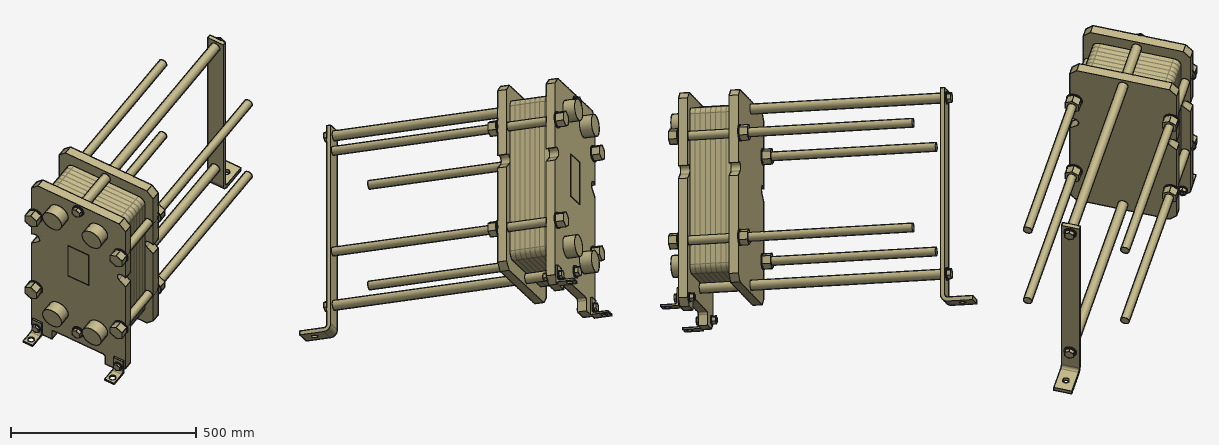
import cadquery as cq
import math


plate_width = 300.0
plate_thick = 26.0
plate_top = 596.0
pressure_height = 536.0
corner_chamfer = 20.0
mid_z = plate_top - pressure_height / 2

notch_radius = 13.0
notch_depth = 26.0
notch_z = 380.0
notch_mouth_top = 388.0
notch_mouth_bottom = 352.0

leg_gap = 169.0
leg_height = 37.0
leg_gap_fillet = 7.0

port_diameter = 60.0
port_length = 34.0
port_x = 63.0
port_offset_z = 197.0
label_width = 66.0
label_height = 122.0
label_thick = 1.0
label_z = 350.0

pack_plates = 8
pack_depth = 115.0
pack_height = 462.0
pack_corner = 21.0

bar_diameter = 28.0
bar_offset_z = 245.5
bar_washer_diameter = 34.0
bar_head_flats = 24.0
bar_head_height = 11.0

rod_diameter = 24.0
rod_spacing = 272.0
rod_offset_z = 146.0
rod_end_y = 649.0
rod_washer_diameter = 44.0
rod_nut_flats = 38.0
rod_nut_height = 23.5

washer_thick = 2.5

column_width = 50.0
column_thick = 12.0
column_front_y = 698.0
column_foot_end_y = 788.0
column_bend_radius = 8.0
column_hole_y = 754.0

foot_x = 130.0
foot_width = 30.0
foot_thick = 5.0
foot_height = 49.5
foot_length = 50.0
foot_bend_radius = 7.0
foot_hole_y = -34.0
foot_bolt_z = 25.0
foot_bolt_diameter = 12.0
foot_washer_diameter = 25.0
foot_nut_flats = 20.0
foot_head_height = 7.0
foot_nut_height = 11.0
foot_bolt_end = 16.0

anchor_hole_diameter = 18.0

pack_pitch = pack_depth / pack_plates
rod_x = rod_spacing / 2
pressure_front_y = plate_thick + pack_depth
pressure_back_y = pressure_front_y + plate_thick
column_back_y = column_front_y + column_thick
bar_heights = [mid_z - bar_offset_z, mid_z + bar_offset_z]
rod_places = [(sx * rod_x, mid_z + sz * rod_offset_z) for sx in (-1, 1) for sz in (-1, 1)]
port_places = [(sx * port_x, mid_z + sz * port_offset_z) for sx in (-1, 1) for sz in (-1, 1)]


def face_plane(y):
    """XZ sketch plane at the given Y whose normal points to +Y (its local x is -X)."""
    return cq.Workplane(cq.Plane(origin=(0, y, 0), xDir=(-1, 0, 0), normal=(0, 1, 0)))


def cylinder_y(diameter, x, z, y_start, y_end):
    """Cylinder along Y."""
    return face_plane(y_start).center(-x, z).circle(diameter / 2).extrude(y_end - y_start)


def hexagon_y(flats, x, z, y_start, y_end):
    """Hexagonal prism along Y with two corners on its vertical axis."""
    corners = flats / math.cos(math.pi / 6)
    profile = face_plane(y_start).center(-x, z).transformed(rotate=(0, 0, 90)).polygon(6, corners)
    return profile.extrude(y_end - y_start)


def fastener(x, z, y_face, outward, washer_diameter, flats, height):
    """Washer and hexagon on the face y_face, stacked toward outward (+1 or -1)."""
    y_seat = y_face + outward * washer_thick
    washer = cylinder_y(washer_diameter, x, z, min(y_face, y_seat), max(y_face, y_seat))
    y_top = y_seat + outward * height
    return washer.union(hexagon_y(flats, x, z, min(y_seat, y_top), max(y_seat, y_top)))


def tangent_point(start, centre, radius, side):
    """Point where the line from start touches the circle, on the given side (+1 or -1)."""
    dx = start[0] - centre[0]
    dz = start[1] - centre[1]
    angle = math.atan2(dz, dx) + side * math.acos(radius / math.hypot(dx, dz))
    return (centre[0] + radius * math.cos(angle), centre[1] + radius * math.sin(angle))


def side_notch(y, thick):
    """Cutter for the notch in the +X side: a round bottom with two tangent flanks."""
    edge = plate_width / 2
    centre = (edge - notch_depth + notch_radius, notch_z)
    upper = (edge, notch_mouth_top)
    lower = (edge, notch_mouth_bottom)
    upper_touch = tangent_point(upper, centre, notch_radius, 1)
    lower_touch = tangent_point(lower, centre, notch_radius, -1)
    bottom = (edge - notch_depth, notch_z)
    profile = (
        cq.Workplane("XZ", origin=(0, y, 0))
        .moveTo(*lower)
        .lineTo(*lower_touch)
        .threePointArc(bottom, upper_touch)
        .lineTo(*upper)
        .close()
    )
    return profile.extrude(-thick)


def clamping_plate(y, bottom_z):
    """Chamfered plate with side notches and the holes for the rods and bars."""
    height = plate_top - bottom_z
    plate = face_plane(y).center(0, bottom_z + height / 2).rect(plate_width, height).extrude(plate_thick)
    plate = plate.edges("|Y").chamfer(corner_chamfer)
    notch = side_notch(y, plate_thick)
    plate = plate.cut(notch).cut(notch.mirror("YZ"))
    for x, z in rod_places:
        plate = plate.cut(cylinder_y(rod_diameter, x, z, y, y + plate_thick))
    for z in bar_heights:
        plate = plate.cut(cylinder_y(bar_diameter, 0, z, y, y + plate_thick))
    return plate


def angle_bracket(width, height, length, thick, bend_radius):
    """L bracket: back of the upright on Y = 0, foot along -Y on Z = 0, with a rounded inner bend."""
    bracket = (
        cq.Workplane("YZ")
        .polyline([(0, 0), (-length, 0), (-length, thick), (-thick, thick), (-thick, height), (0, height)])
        .close()
        .extrude(width / 2, both=True)
    )
    return bracket.edges(cq.selectors.NearestToPointSelector((0, -thick, thick))).fillet(bend_radius)


def front_foot(x):
    """Bolted foot: bracket with floor hole, plus its bolt through the frame plate."""
    foot = angle_bracket(foot_width, foot_height, foot_length, foot_thick, foot_bend_radius)
    hole = cq.Workplane("XY").center(0, foot_hole_y).circle(anchor_hole_diameter / 2).extrude(foot_thick)
    foot = foot.cut(hole).translate((x, 0, 0))
    for y_face, outward, height in ((-foot_thick, -1, foot_head_height), (plate_thick, 1, foot_nut_height)):
        foot = foot.union(
            fastener(x, foot_bolt_z, y_face, outward, foot_washer_diameter, foot_nut_flats, height)
        )
    shank_end = plate_thick + foot_bolt_end
    return foot.union(cylinder_y(foot_bolt_diameter, x, foot_bolt_z, -foot_thick, shank_end))


def make_frame_plate():
    """Front plate with its legs, feet, ports and name plate."""
    frame = clamping_plate(0, 0)
    gap = cq.Workplane("XY").box(leg_gap, plate_thick, leg_height, centered=(True, False, False))
    frame = frame.cut(gap.edges("|Y and >Z").fillet(leg_gap_fillet))
    for x, z in port_places:
        frame = frame.union(cylinder_y(port_diameter, x, z, -port_length, 0))
    label = face_plane(-label_thick).center(0, label_z).rect(label_width, label_height).extrude(label_thick)
    frame = frame.union(label)
    for x in (-foot_x, foot_x):
        frame = frame.union(front_foot(x))
    return frame


def make_plate_pack():
    """Stack of heat transfer plates that fits between the rods, clear of the bars."""
    width = 2 * rod_x - rod_diameter
    pack = None
    for index in range(pack_plates):
        plate = face_plane(plate_thick + index * pack_pitch).center(0, mid_z).rect(width, pack_height)
        plate = plate.extrude(pack_pitch).edges("|Y").fillet(pack_corner)
        pack = plate if pack is None else pack.union(plate, clean=False)
    return pack


def make_bar(z):
    """Bar from the frame plate to the column with a washer and hexagon head at each end."""
    bar = cylinder_y(bar_diameter, 0, z, 0, column_back_y)
    for y_face, outward in ((0, -1), (column_back_y, 1)):
        bar = bar.union(
            fastener(0, z, y_face, outward, bar_washer_diameter, bar_head_flats, bar_head_height)
        )
    return bar


def make_tightening_bolt(x, z):
    """Long bolt through both clamping plates, with its head in front and its nut behind."""
    bolt = cylinder_y(rod_diameter, x, z, 0, rod_end_y)
    for y_face, outward in ((0, -1), (pressure_back_y, 1)):
        bolt = bolt.union(
            fastener(x, z, y_face, outward, rod_washer_diameter, rod_nut_flats, rod_nut_height)
        )
    return bolt


def make_column():
    """Bent strip with a floor hole and the two bar holes."""
    foot_length_y = column_foot_end_y - column_front_y
    column = angle_bracket(column_width, plate_top, foot_length_y, column_thick, column_bend_radius)
    column = column.edges("|X and <Z and >Y").fillet(column_bend_radius + column_thick)
    column = column.rotate((0, 0, 0), (0, 0, 1), 180).translate((0, column_front_y, 0))
    hole = cq.Workplane("XY").center(0, column_hole_y).circle(anchor_hole_diameter / 2).extrude(column_thick)
    column = column.cut(hole)
    for z in bar_heights:
        column = column.cut(cylinder_y(bar_diameter, 0, z, column_front_y, column_back_y))
    return column


frame_plate = make_frame_plate()
pressure_plate = clamping_plate(pressure_front_y, plate_top - pressure_height)
plate_pack = make_plate_pack()
column = make_column()
bars = [make_bar(z) for z in bar_heights]
tightening_bolts = [make_tightening_bolt(x, z) for x, z in rod_places]

bodies = [frame_plate, pressure_plate, plate_pack, column, *bars, *tightening_bolts]
result = cq.Compound.makeCompound([body.val() for body in bodies])